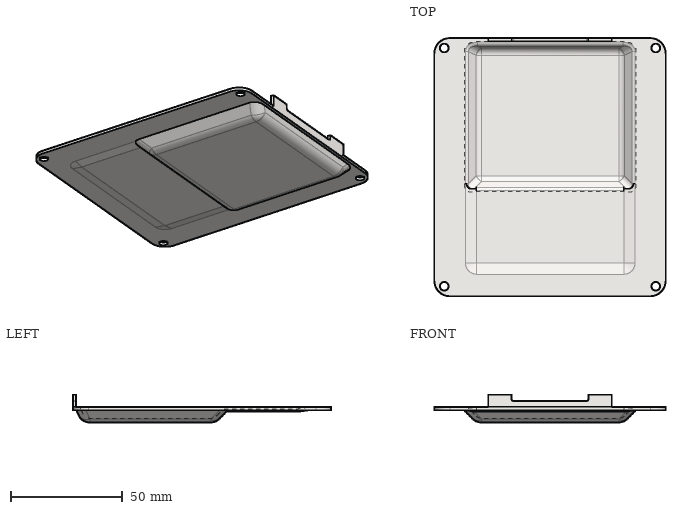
import math

import cadquery as cq

PLATE_X = 103.8
PLATE_Y = 115.8
SHEET = 1.5
PLATE_CORNER_RADIUS = 7.0
HOLE_DIAMETER = 3.8
HOLE_INSET = 4.5

TAB_WIDTH = 55.5
TAB_HEIGHT = 5.5
TAB_NOTCH_WIDTH = 34.5
TAB_NOTCH_DEPTH = 2.8
TAB_NOTCH_RADIUS = 1.0

RECESS_X = 76.0
RECESS_Y = 104.0
RECESS_BACK_INSET = 1.8
RECESS_BACK_Y = PLATE_Y / 2 - RECESS_BACK_INSET
RECESS_FRONT_Y = RECESS_BACK_Y - RECESS_Y

SHALLOW_DEPTH = 0.7
SHALLOW_RAMP = 5.0
SHALLOW_CORNER_RADIUS = SHALLOW_RAMP + 0.05
SHALLOW_OVERLAP = 3.0

BOWL_DEPTH = 5.0
BOWL_WALL = 2.0
SIDE_SLOPE = math.radians(45)
BACK_SLOPE = math.radians(65)
RIM_RADIUS = 2.0
FLOOR_RADIUS = 3.5
BOWL_LENGTH = 66.5
BOWL_FRONT_RIM_Y = RECESS_BACK_Y - BOWL_LENGTH

EDGE_TOLERANCE = 0.01


def rim_setback(slope):
    """Distance from the rounded rim's outer line to the sharp rim edge."""
    return RIM_RADIUS * math.tan(slope / 2)


BOWL_HALF_X = RECESS_X / 2 - rim_setback(SIDE_SLOPE)
BOWL_BACK_Y = RECESS_BACK_Y - rim_setback(BACK_SLOPE)
BOWL_FRONT_Y = BOWL_FRONT_RIM_Y + rim_setback(SIDE_SLOPE) - SHALLOW_DEPTH / math.tan(SIDE_SLOPE)


def make_plate():
    plate = cq.Workplane("XY").rect(PLATE_X, PLATE_Y).extrude(-SHEET)
    return plate.edges("|Z").fillet(PLATE_CORNER_RADIUS)


def make_tab():
    back_y = PLATE_Y / 2
    notch_z = TAB_HEIGHT - TAB_NOTCH_DEPTH
    tab = (
        cq.Workplane("XY", origin=(0, back_y - SHEET / 2, -SHEET))
        .rect(TAB_WIDTH, SHEET)
        .extrude(SHEET + TAB_HEIGHT)
    )
    notch = (
        cq.Workplane("XY", origin=(0, back_y - SHEET / 2, notch_z))
        .rect(TAB_NOTCH_WIDTH, SHEET)
        .extrude(TAB_NOTCH_DEPTH)
        .edges("|Y and <Z")
        .fillet(TAB_NOTCH_RADIUS)
    )
    return tab.cut(notch)


def make_bowl(offset):
    """Bowl solid from Z = 0 down, with every wall moved outward by offset."""
    depth = BOWL_DEPTH + offset
    side_top = offset / math.sin(SIDE_SLOPE)
    side_bottom = side_top - depth / math.tan(SIDE_SLOPE)
    back_top = offset / math.sin(BACK_SLOPE)
    back_bottom = back_top - depth / math.tan(BACK_SLOPE)
    across = (
        cq.Workplane("XZ")
        .moveTo(-BOWL_HALF_X - side_top, 0)
        .lineTo(BOWL_HALF_X + side_top, 0)
        .lineTo(BOWL_HALF_X + side_bottom, -depth)
        .lineTo(-BOWL_HALF_X - side_bottom, -depth)
        .close()
        .extrude(PLATE_Y, both=True)
    )
    along = (
        cq.Workplane("YZ")
        .moveTo(BOWL_FRONT_Y - side_top, 0)
        .lineTo(BOWL_BACK_Y + back_top, 0)
        .lineTo(BOWL_BACK_Y + back_bottom, -depth)
        .lineTo(BOWL_FRONT_Y - side_bottom, -depth)
        .close()
        .extrude(PLATE_X, both=True)
    )
    frustum = across.intersect(along)
    return frustum.faces("not >Z").edges("not >Z").fillet(FLOOR_RADIUS + offset)


def make_shallow(top_z, back_y):
    """Ramped shallow prism hanging from top_z and ending at back_y."""
    center_y = (RECESS_BACK_Y + RECESS_FRONT_Y) / 2
    taper = math.degrees(math.atan(SHALLOW_RAMP / SHALLOW_DEPTH))
    outline = cq.Sketch().rect(RECESS_X, RECESS_Y).vertices().fillet(SHALLOW_CORNER_RADIUS)
    ramped = (
        cq.Workplane("XY", origin=(0, center_y, top_z))
        .placeSketch(outline)
        .extrude(-SHALLOW_DEPTH, taper=taper)
    )
    keep_y = back_y - RECESS_FRONT_Y
    keep = (
        cq.Workplane("XY", origin=(0, RECESS_FRONT_Y + keep_y / 2, top_z))
        .rect(RECESS_X, keep_y)
        .extrude(-SHALLOW_DEPTH)
    )
    return ramped.intersect(keep)


def drill_corners(body):
    return (
        body.faces(">Z")
        .workplane(origin=(0, 0, 0))
        .rect(PLATE_X - 2 * HOLE_INSET, PLATE_Y - 2 * HOLE_INSET, forConstruction=True)
        .vertices()
        .hole(HOLE_DIAMETER)
    )


def round_rim(body):
    """Round the bowl's mouth where it breaks through the plate's top face."""
    mouth = cq.selectors.BoxSelector(
        (-RECESS_X / 2, RECESS_FRONT_Y, -EDGE_TOLERANCE),
        (RECESS_X / 2, RECESS_BACK_Y, EDGE_TOLERANCE),
        boundingbox=True,
    )
    return body.edges(mouth).fillet(RIM_RADIUS)


def make_front_rim_cut():
    """Sliver that rounds the edge between the shallow floor and the bowl's front wall."""
    setback = rim_setback(SIDE_SLOPE)
    edge_y = BOWL_FRONT_RIM_Y + setback
    half_slope = SIDE_SLOPE / 2
    wall_y = edge_y + setback * math.cos(SIDE_SLOPE)
    wall_z = -SHALLOW_DEPTH - setback * math.sin(SIDE_SLOPE)
    middle_y = BOWL_FRONT_RIM_Y + RIM_RADIUS * math.sin(half_slope)
    middle_z = -SHALLOW_DEPTH - RIM_RADIUS * (1 - math.cos(half_slope))
    return (
        cq.Workplane("YZ")
        .moveTo(BOWL_FRONT_RIM_Y, -SHALLOW_DEPTH)
        .threePointArc((middle_y, middle_z), (wall_y, wall_z))
        .lineTo(edge_y, -SHALLOW_DEPTH)
        .close()
        .extrude(RECESS_X / 2 - SHALLOW_RAMP, both=True)
    )


SHALLOW_BACK_Y = BOWL_FRONT_RIM_Y + SHALLOW_OVERLAP

body = make_plate()
body = body.union(make_bowl(BOWL_WALL))
body = body.union(make_shallow(-SHEET, SHALLOW_BACK_Y))

body = round_rim(body.cut(make_bowl(0)))
body = body.cut(make_shallow(0, SHALLOW_BACK_Y))
body = body.cut(make_front_rim_cut())

result = drill_corners(body).union(make_tab())